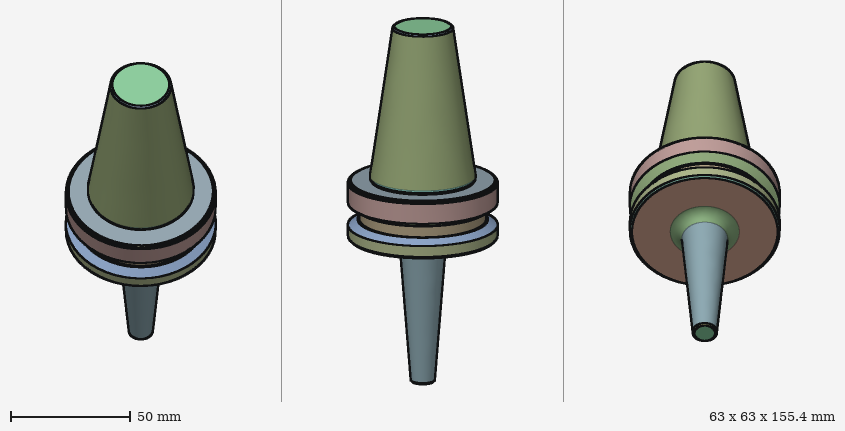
import cadquery as cq
import math

total_height = 155.4

gauge_radius = 22.2
gauge_z = 90.0
taper_slope = 7 / 48
top_chamfer = 0.8
gauge_band_bottom_z = 89.0
neck_radius = 21.6
neck_top_z = 88.6

flange_diameter = 63.0
flange_radius = flange_diameter / 2
flange_top_z = 88.1
flange_bottom_z = 63.0
flange_bottom_chamfer = 1.0

rim_steep_width = 0.5
rim_steep_height = 0.6
rim_shallow_width = 0.8
rim_shallow_height = 0.5

groove_floor_radius = 26.5
groove_shoulder = 0.8
groove_center_z = 73.5
groove_floor_width = 5.0
groove_wall_angle = 30

nose_tip_radius = 5.1
nose_base_radius = 9.6
nose_base_z = 58.5
nose_chamfer = 0.8

taper_top_radius = gauge_radius - (total_height - gauge_z) * taper_slope
taper_edge_radius = taper_top_radius + top_chamfer * taper_slope
groove_shoulder_radius = groove_floor_radius + groove_shoulder
groove_wall_depth = flange_radius - groove_shoulder_radius
floor_half_width = groove_floor_width / 2
mouth_half_width = floor_half_width + groove_wall_depth * math.tan(math.radians(groove_wall_angle))

nose_angle = math.atan2(nose_base_radius - nose_tip_radius, nose_base_z - nose_chamfer)
fillet_radius = (flange_bottom_z - nose_base_z) / (1 - math.sin(nose_angle))
fillet_center_radius = nose_base_radius + fillet_radius * math.cos(nose_angle)
fillet_center_z = flange_bottom_z - fillet_radius
fillet_mid_angle = (nose_angle + math.pi / 2) / 2
fillet_mid = (
    fillet_center_radius - fillet_radius * math.cos(fillet_mid_angle),
    fillet_center_z + fillet_radius * math.sin(fillet_mid_angle),
)

profile = (
    cq.Workplane("XZ")
    .lineTo(nose_tip_radius - nose_chamfer, 0)
    .lineTo(nose_tip_radius, nose_chamfer)
    .lineTo(nose_base_radius, nose_base_z)
    .threePointArc(fillet_mid, (fillet_center_radius, flange_bottom_z))
    .lineTo(flange_radius - flange_bottom_chamfer, flange_bottom_z)
    .lineTo(flange_radius, flange_bottom_z + flange_bottom_chamfer)
    .lineTo(flange_radius, groove_center_z - mouth_half_width)
    .lineTo(groove_shoulder_radius, groove_center_z - floor_half_width)
    .lineTo(groove_floor_radius, groove_center_z - floor_half_width)
    .lineTo(groove_floor_radius, groove_center_z + floor_half_width)
    .lineTo(groove_shoulder_radius, groove_center_z + floor_half_width)
    .lineTo(flange_radius, groove_center_z + mouth_half_width)
    .lineTo(flange_radius, flange_top_z - rim_shallow_height - rim_steep_height)
    .lineTo(flange_radius - rim_steep_width, flange_top_z - rim_shallow_height)
    .lineTo(flange_radius - rim_steep_width - rim_shallow_width, flange_top_z)
    .lineTo(neck_radius, flange_top_z)
    .lineTo(neck_radius, neck_top_z)
    .lineTo(gauge_radius, gauge_band_bottom_z)
    .lineTo(gauge_radius, gauge_z)
    .lineTo(taper_edge_radius, total_height - top_chamfer)
    .lineTo(taper_top_radius - top_chamfer, total_height)
    .lineTo(0, total_height)
    .close()
)

result = profile.revolve(360, (0, 0, 0), (0, 1, 0))